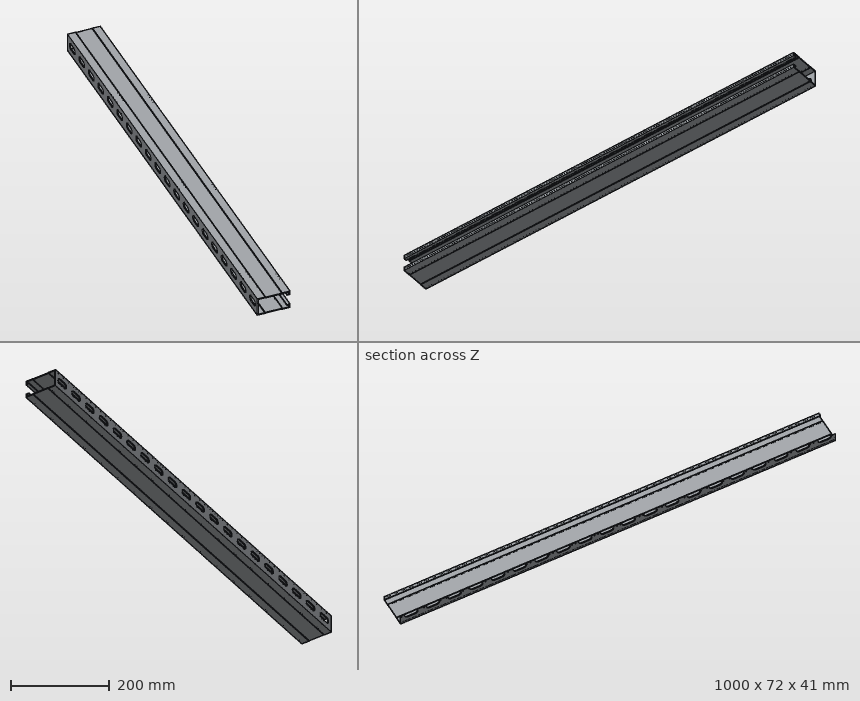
import cadquery as cq

length = 1000.0
depth = 72.0
height = 41.0
wall = 2.4

mouth = 23.0
lip_return = 7.0

band_width = 38.0
band_ramp = 1.5
band_offset = 0.5
band_spread = 1.0

slot_pitch = 50.0
slot_length = 30.0
slot_end_radius = 6.7
slot_count = round(length / slot_pitch)


def band_profile(width, level):
    """Points in Y and Z, towards +Y, of a flange surface at a level with its pressed band."""
    edge = width / 2
    floor_edge = edge - band_ramp
    floor = level - band_offset
    return [(-edge, level), (-floor_edge, floor), (floor_edge, floor), (edge, level)]


def upper_half_outline():
    """Closed outline, in Y and Z, of the half of the wall section above Z = 0."""
    back = -depth / 2
    front = depth / 2
    top = height / 2
    ceiling = top - wall
    lip_bottom = mouth / 2
    lip_top = lip_bottom + wall
    lip_end = front - lip_return
    outside = [(back, 0), (back, top)] + band_profile(band_width, top)
    lip = [
        (front, top),
        (front, lip_bottom),
        (lip_end, lip_bottom),
        (lip_end, lip_top),
        (front - wall, lip_top),
        (front - wall, ceiling),
    ]
    inside = band_profile(band_width + 2 * band_spread, ceiling)[::-1]
    web_inside = [(back + wall, ceiling), (back + wall, 0)]
    return outside + lip + inside + web_inside


def make_channel():
    upper_half = cq.Workplane("YZ").polyline(upper_half_outline()).close()
    upper_half = upper_half.extrude(length / 2, both=True)
    return upper_half.union(upper_half.mirror("XY"))


def make_slot_cutters():
    """Slot bodies filling the thickness of the web, evenly spaced along X."""
    return (
        cq.Workplane("XZ", origin=(0, -depth / 2 + wall, 0))
        .rarray(slot_pitch, 10, slot_count, 1)
        .slot2D(slot_length, 2 * slot_end_radius)
        .extrude(wall)
    )


result = make_channel().cut(make_slot_cutters())